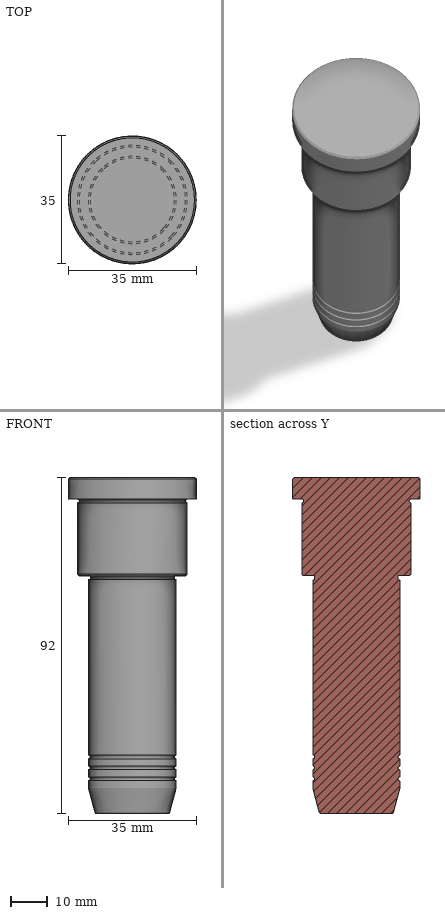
import cadquery as cq
import math

total_length = 92.0
head_height = 6.0
collar_bottom_z = 65.0
taper_length = 7.0
taper_angle = 15.0

head_radius = 17.5
collar_radius = 15.0
shank_radius = 12.0

edge_chamfer = 0.5
tip_fillet = 0.5
relief_width = 1.0
relief_depth = 0.5

groove_count = 3
groove_radius = 0.5
groove_pitch = 3.0
first_groove_z = 9.0

collar_top_z = total_length - head_height
tip_radius = shank_radius - taper_length * math.tan(math.radians(taper_angle))


def cylinder(radius, bottom_z, top_z):
    """Solid cylinder on the Z axis between two heights."""
    return cq.Workplane("XY").workplane(offset=bottom_z).circle(radius).extrude(top_z - bottom_z)


def round_groove(surface_radius, bottom_z):
    """Ring with a round section, centred on a cylinder's surface, that cuts a semicircular groove."""
    centre_z = bottom_z + groove_radius
    ring = cq.Solid.makeTorus(surface_radius, groove_radius, cq.Vector(0, 0, centre_z))
    return cq.Workplane("XY").add(ring)


def make_head():
    """Flat head with a chamfered top rim."""
    return cylinder(head_radius, collar_top_z, total_length).faces(">Z").chamfer(edge_chamfer)


def make_collar():
    """Locating collar with a chamfered lower edge and a round groove under the head."""
    collar = cylinder(collar_radius, collar_bottom_z, collar_top_z)
    collar = collar.faces("<Z").chamfer(edge_chamfer)
    return collar.cut(round_groove(collar_radius, collar_top_z - 2 * groove_radius))


def make_shank():
    """Shank with a tapered tip, round grooves above it and a relief neck under the collar."""
    relief_z = collar_bottom_z - relief_width
    tip = cq.Workplane("XY").circle(tip_radius).workplane(offset=taper_length).circle(shank_radius).loft()
    tip = tip.edges("<Z").fillet(tip_fillet)
    shank = tip.union(cylinder(shank_radius, taper_length, relief_z))
    for index in range(groove_count):
        groove_z = first_groove_z + index * groove_pitch
        shank = shank.cut(round_groove(shank_radius, groove_z))
    return shank.union(cylinder(shank_radius - relief_depth, relief_z, collar_bottom_z))


result = make_shank().union(make_collar()).union(make_head())